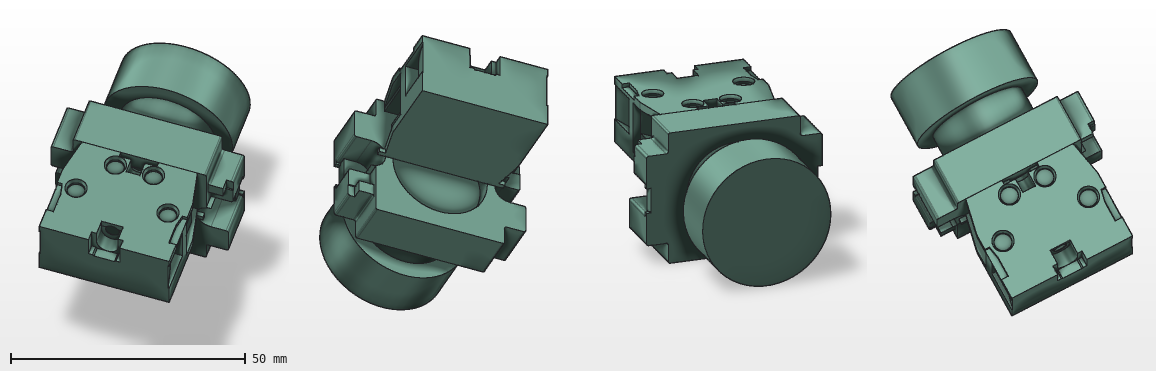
import cadquery as cq

OVERALL_LENGTH = 55.0
BLOCK_LENGTH = 24.0
COLLAR_DEPTH = 10.8
NECK_LENGTH = 8.2

HEAD_RADIUS = 14.6
NECK_RADIUS = 10.85

COLLAR_SIZE = 30.0
COLLAR_WIDTH_OVER_WINGS = 40.0
COLLAR_CORNER_RADIUS = 0.4
WING_TOP = 10.3
WING_RADIUS = 0.55
SLOT_RADIUS = 3.3
SLOT_CENTER_X = 16.05
SLOT_DEPTH = 8.05
WEB_REACH = 18.9
LIP_START = 9.85
LIP_HALF_GAP = 2.8
RECESS_RIM_RADIUS = 11.0
RECESS_DEPTH = 3.6
STEP_HEIGHT = 7.6
STEP_DEPTH = 3.1
KEY_SETBACK = 1.05
KEY_REACH = 18.4
TIP_NOTCH_DEPTH = 3.4

BLOCK_WIDTH = 29.25
BLOCK_TOP = COLLAR_SIZE / 2
BLOCK_BACK_WIDTH = 25.95
TAPER_LENGTH = 8.2
TAB_LENGTH = 1.1
TAB_HEIGHT = 1.05

POCKET_LENGTH = 12.3
POCKET_FLOOR = 1.9
POCKET_STEP = 6.0
POCKET_LEDGE = 12.25
POCKET_CEILING = 13.2
POCKET_WALL_X = 12.9
LOWER_BEVEL_LENGTH = 3.65
LOWER_BEVEL_X = 10.25
UPPER_FLAT_LENGTH = 5.35
UPPER_FLAT_X = 7.4

WINDOW_BACK = 14.9
WINDOW_FRONT = 18.35
WINDOW_FLOOR = 5.15
WINDOW_FLARE_X = 13.1
WINDOW_FLARE_END_X = 14.4

EDGE_NOTCH_START = 11.75
EDGE_NOTCH_KNEE = 14.6
EDGE_NOTCH_END = 19.3
EDGE_NOTCH_DEPTH = 0.9
EDGE_NOTCH_START_X = 13.55
EDGE_NOTCH_X = 13.0

SCREW_PLACES = [(4.3, 3.5), (10.35, 11.95)]
SCREW_RIM_RADIUS = 2.35
SCREW_RADIUS = 1.9
SCREW_CONE_DEPTH = 0.75
SCREW_DEPTH = 1.3

NOTCH_SLOT_RADIUS = 2.4
FRONT_SLOT_CENTER_Z = 12.0
FRONT_SLOT_LENGTH = 5.5
FRONT_NOTCH_HALF_WIDTH = 3.5
FRONT_NOTCH_LENGTH = 2.15
FRONT_NOTCH_FLOOR = 9.9
FRONT_GROOVE_HALF_WIDTH = 2.65

PIN_HOLE_RADIUS = 1.55
PIN_CENTER_Z = 12.6
BACK_SLOT_LENGTH = 4.45
BACK_NOTCH_HALF_WIDTH = 4.25
BACK_NOTCH_LENGTH = 1.1

SIDES = (-1, 1)


def box(x0, x1, y0, y1, z0, z1):
    """Box between two opposite corners, given in any order."""
    size = (abs(x1 - x0), abs(y1 - y0), abs(z1 - z0))
    middle = ((x0 + x1) / 2, (y0 + y1) / 2, (z0 + z1) / 2)
    return cq.Workplane("XY").box(*size).translate(middle)


def cylinder_y(radius, y0, y1, x=0, z=0):
    """Cylinder along Y from y0 to a greater y1."""
    solid = cq.Solid.makeCylinder(radius, y1 - y0, cq.Vector(x, y0, z), cq.Vector(0, 1, 0))
    return cq.Workplane(obj=solid)


def plan_prism(points, z0, z1):
    """Prism standing on an XY outline."""
    return cq.Workplane("XY").workplane(offset=z0).polyline(points).close().extrude(z1 - z0)


def both_sides(solid):
    """The solid together with its mirror image across the YZ plane."""
    return solid.union(solid.mirror("YZ"))


def make_button():
    head_start = COLLAR_DEPTH + NECK_LENGTH
    head_end = OVERALL_LENGTH - BLOCK_LENGTH
    head = cylinder_y(HEAD_RADIUS, head_start, head_end)
    neck = cylinder_y(NECK_RADIUS, RECESS_DEPTH, head_start)
    return head.union(neck)


def collar_plate():
    half = COLLAR_SIZE / 2
    tip = COLLAR_WIDTH_OVER_WINGS / 2
    plate = box(-half, half, 0, COLLAR_DEPTH, -half, half)
    plate = plate.edges("|Y").fillet(COLLAR_CORNER_RADIUS)
    wings = box(-tip, tip, 0, COLLAR_DEPTH, -WING_TOP, WING_TOP)
    plate = plate.union(wings.edges("|Y").fillet(WING_RADIUS))
    inner_corners = cq.selectors.BoxSelector(
        (-half - WING_RADIUS / 2, -WING_RADIUS, -WING_TOP - WING_RADIUS / 2),
        (half + WING_RADIUS / 2, COLLAR_DEPTH + WING_RADIUS, WING_TOP + WING_RADIUS / 2),
    )
    return plate.edges("|Y").edges(inner_corners).fillet(WING_RADIUS)


def side_slot():
    """Round-ended slot in the +X wing, with rounded mouth corners, and the web left behind it."""
    tip = COLLAR_WIDTH_OVER_WINGS / 2
    slot = box(SLOT_CENTER_X, tip, 0, SLOT_DEPTH, -SLOT_RADIUS, SLOT_RADIUS)
    slot = slot.union(cylinder_y(SLOT_RADIUS, 0, SLOT_DEPTH, x=SLOT_CENTER_X))
    slot = slot.union(box(WEB_REACH, tip, 0, LIP_START, -SLOT_RADIUS, SLOT_RADIUS))
    slot = slot.union(box(WEB_REACH, tip, LIP_START, COLLAR_DEPTH, -LIP_HALF_GAP, LIP_HALF_GAP))
    for side in SIDES:
        shoulder = side * (SLOT_RADIUS + WING_RADIUS)
        corner = box(tip - WING_RADIUS, tip, 0, LIP_START, side * SLOT_RADIUS, shoulder)
        slot = slot.union(corner.cut(cylinder_y(WING_RADIUS, 0, LIP_START, tip - WING_RADIUS, shoulder)))
    return slot


def wing_step():
    """Material missing from the front of the upper +X wing, leaving a small key beside the plate."""
    half = COLLAR_SIZE / 2
    tip = COLLAR_WIDTH_OVER_WINGS / 2
    key_top = WING_TOP + WING_RADIUS
    step = box(half, tip, 0, STEP_DEPTH, SLOT_RADIUS, STEP_HEIGHT)
    step = step.union(box(half, tip, 0, KEY_SETBACK, STEP_HEIGHT, key_top))
    return step.union(box(KEY_REACH, tip, 0, TIP_NOTCH_DEPTH, STEP_HEIGHT, key_top))


def neck_hole():
    """Through hole for the neck, with a tapered recess at the front."""
    profile = [
        (0, 0),
        (RECESS_RIM_RADIUS, 0),
        (NECK_RADIUS, RECESS_DEPTH),
        (NECK_RADIUS, COLLAR_DEPTH),
        (0, COLLAR_DEPTH),
    ]
    return cq.Workplane("XY").polyline(profile).close().revolve(360, (0, 0, 0), (0, 1, 0))


def make_collar():
    collar = collar_plate().cut(both_sides(side_slot()))
    for turn in (0, 180):
        collar = collar.cut(wing_step().rotate((0, 0, 0), (0, 1, 0), turn))
    return collar.cut(neck_hole())


def block_blank():
    half = BLOCK_WIDTH / 2
    back_half = BLOCK_BACK_WIDTH / 2
    outline = [
        (-back_half, 0),
        (back_half, 0),
        (half, -TAPER_LENGTH),
        (half, -BLOCK_LENGTH),
        (-half, -BLOCK_LENGTH),
        (-half, -TAPER_LENGTH),
    ]
    blank = plan_prism(outline, 0, BLOCK_TOP)
    tab = box(0, half, -TAB_LENGTH, 0, 0, TAB_HEIGHT)
    return blank.union(both_sides(tab))


def side_pocket():
    """Pocket in the +X side, open to the collar, with a deeper bevelled bay at each of two levels."""
    pocket = box(POCKET_WALL_X, BLOCK_WIDTH / 2, -POCKET_LENGTH, 0, POCKET_FLOOR, POCKET_CEILING)
    lower_bay = [(POCKET_WALL_X, 0), (POCKET_WALL_X, -LOWER_BEVEL_LENGTH), (LOWER_BEVEL_X, 0)]
    upper_bay = [
        (POCKET_WALL_X, 0),
        (POCKET_WALL_X, -POCKET_LENGTH),
        (UPPER_FLAT_X, -UPPER_FLAT_LENGTH),
        (UPPER_FLAT_X, 0),
    ]
    pocket = pocket.union(plan_prism(lower_bay, POCKET_FLOOR, POCKET_STEP))
    return pocket.union(plan_prism(upper_bay, POCKET_STEP, POCKET_LEDGE))


def window():
    """Window through the block along X, flared toward the front at both ends."""
    half = BLOCK_WIDTH / 2
    opening = box(-half, half, -WINDOW_FRONT, -WINDOW_BACK, WINDOW_FLOOR, POCKET_CEILING)
    flare = [
        (WINDOW_FLARE_X, -WINDOW_FRONT),
        (WINDOW_FLARE_END_X, -BLOCK_LENGTH),
        (half, -BLOCK_LENGTH),
        (half, -WINDOW_FRONT),
    ]
    return opening.union(both_sides(plan_prism(flare, WINDOW_FLOOR, POCKET_CEILING)))


def edge_notch():
    """Shallow notch along the top +X edge."""
    half = BLOCK_WIDTH / 2
    outline = [
        (half, -EDGE_NOTCH_START),
        (EDGE_NOTCH_START_X, -EDGE_NOTCH_START),
        (EDGE_NOTCH_X, -EDGE_NOTCH_KNEE),
        (EDGE_NOTCH_X, -EDGE_NOTCH_END),
        (half, -EDGE_NOTCH_END),
    ]
    return plan_prism(outline, BLOCK_TOP - EDGE_NOTCH_DEPTH, BLOCK_TOP)


def screw_hole(x, y):
    """Blind hole in the top face with a conical mouth."""
    profile = [
        (0, BLOCK_TOP),
        (SCREW_RIM_RADIUS, BLOCK_TOP),
        (SCREW_RADIUS, BLOCK_TOP - SCREW_CONE_DEPTH),
        (SCREW_RADIUS, BLOCK_TOP - SCREW_DEPTH),
        (0, BLOCK_TOP - SCREW_DEPTH),
    ]
    hole = cq.Workplane("XZ").polyline(profile).close().revolve(360, (0, 0, 0), (0, 1, 0))
    return hole.translate((x, y, 0))


def round_bottom_slot(radius, center_z, y0, y1):
    """Slot along Y, open at the top face and round at the bottom."""
    sides = box(-radius, radius, y0, y1, center_z, BLOCK_TOP)
    return sides.union(cylinder_y(radius, y0, y1, z=center_z))


def front_notch():
    """Stepped notch and round-bottomed slot in the front face, ending in the pin hole."""
    notch_back = FRONT_NOTCH_LENGTH - BLOCK_LENGTH
    slot_end = FRONT_SLOT_LENGTH - BLOCK_LENGTH
    slot_bottom = FRONT_SLOT_CENTER_Z - NOTCH_SLOT_RADIUS
    groove_chamfer = FRONT_NOTCH_FLOOR - slot_bottom
    half_outline = [
        (FRONT_GROOVE_HALF_WIDTH - groove_chamfer, slot_bottom),
        (FRONT_GROOVE_HALF_WIDTH, FRONT_NOTCH_FLOOR),
        (FRONT_NOTCH_HALF_WIDTH, FRONT_NOTCH_FLOOR),
        (FRONT_NOTCH_HALF_WIDTH, BLOCK_TOP),
    ]
    outline = half_outline + [(-x, z) for x, z in reversed(half_outline)]
    notch = cq.Workplane("XZ").workplane(offset=-notch_back).polyline(outline).close()
    notch = notch.extrude(FRONT_NOTCH_LENGTH)
    slot = round_bottom_slot(NOTCH_SLOT_RADIUS, FRONT_SLOT_CENTER_Z, -BLOCK_LENGTH, slot_end)
    pin_hole = cylinder_y(PIN_HOLE_RADIUS, slot_end, -WINDOW_BACK, z=PIN_CENTER_Z)
    return notch.union(slot).union(pin_hole)


def back_notch():
    """Stepped notch in the back face, running into a narrower round-bottomed slot."""
    half = BACK_NOTCH_HALF_WIDTH
    notch = box(-half, half, -BACK_NOTCH_LENGTH, 0, PIN_CENTER_Z, BLOCK_TOP)
    notch = notch.union(round_bottom_slot(NOTCH_SLOT_RADIUS, PIN_CENTER_Z, -BACK_NOTCH_LENGTH, 0))
    return notch.union(round_bottom_slot(PIN_HOLE_RADIUS, PIN_CENTER_Z, -BACK_SLOT_LENGTH, 0))


def make_contact_block():
    block = block_blank().cut(both_sides(side_pocket())).cut(window())
    block = block.cut(both_sides(edge_notch()))
    for x, distance in SCREW_PLACES:
        for side in SIDES:
            block = block.cut(screw_hole(side * x, -distance))
    return block.cut(front_notch()).cut(back_notch())


button = make_button()
collar = make_collar()
contact_block = make_contact_block()

bodies = [button, collar, contact_block]
result = cq.Compound.makeCompound([body.solids().val() for body in bodies])